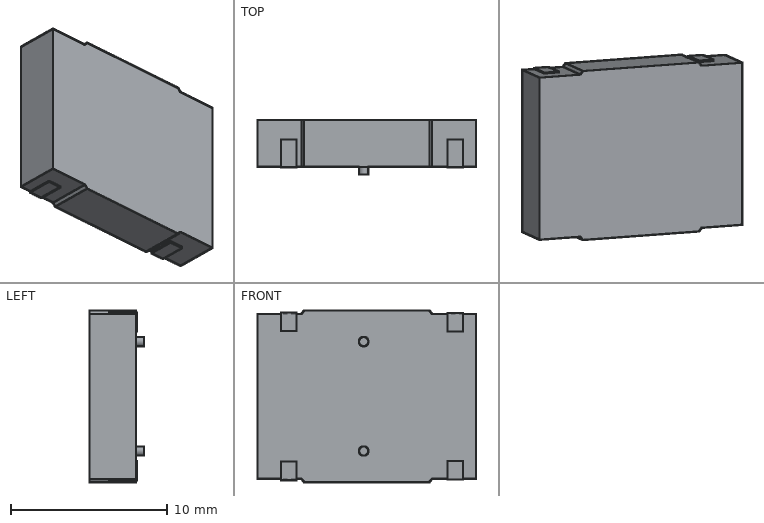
import cadquery as cq

length = 14.0
depth = 3.0
height = 11.0
step_height = 0.22
band_length = 8.01
step_run = 0.18

pin_diameter = 0.6
pin_length = 0.5
pin_x = -0.2
pin_z = 3.5

terminal_width = 1.01
terminal_thickness = 0.04
terminal_leg = 1.19
terminal_reach = 1.75
left_terminal_x = -4.98
right_terminal_x = 5.67
left_terminal_lift = 0.1
right_terminal_lift = 0.05

shoulder_z = height / 2 - step_height


def make_body():
    """Extrude the stepped outline backward from the front face at Y = 0."""
    end_x = length / 2
    band_x = band_length / 2
    step_x = band_x + step_run
    upper = [
        (-end_x, shoulder_z),
        (-step_x, shoulder_z),
        (-band_x, height / 2),
        (band_x, height / 2),
        (step_x, shoulder_z),
        (end_x, shoulder_z),
    ]
    lower = [(x, -z) for x, z in reversed(upper)]
    return cq.Workplane("XZ").polyline(upper + lower).close().extrude(-depth)


def make_pins():
    """Round pins standing forward from the front face."""
    positions = [(pin_x, pin_z), (pin_x, -pin_z)]
    return cq.Workplane("XZ").pushPoints(positions).circle(pin_diameter / 2).extrude(pin_length)


def make_terminal(center_x, lift):
    """Upper terminal: a leg down the front face and a flange back over the shoulder."""
    top_z = shoulder_z + lift
    left_x = center_x - terminal_width / 2
    leg = cq.Workplane("XY").box(
        terminal_width, terminal_thickness, terminal_leg, centered=False
    ).translate((left_x, -terminal_thickness, top_z - terminal_leg))
    flange = cq.Workplane("XY").box(
        terminal_width, terminal_thickness + terminal_reach, lift, centered=False
    ).translate((left_x, -terminal_thickness, shoulder_z))
    return leg.union(flange)


result = make_body().union(make_pins())
for center_x, lift in (
    (left_terminal_x, left_terminal_lift),
    (right_terminal_x, right_terminal_lift),
):
    terminal = make_terminal(center_x, lift)
    result = result.union(terminal).union(terminal.mirror("XY"))